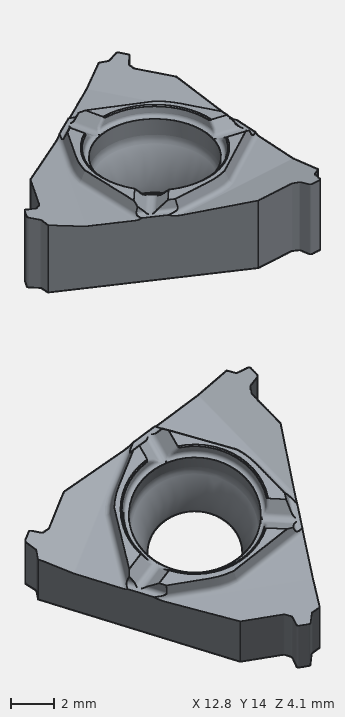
import cadquery as cq
import math

CORNERS = 3
CORNER_ANGLES = [corner * 360 / CORNERS for corner in range(CORNERS)]

side_distance = 4.77
tooth_tip = 6.9
nose_height = 6.02
shoulder_height = 6.1
shoulder_inner = -3.07
tooth_left_root = (-4.35, 6.26)
tooth_left_tip_x = -4.17
tooth_right_tip_x = -3.54
tooth_right_root = (-3.41, 6.29)
tooth_rounding = 0.11

overall_height = 4.1
floor_height = 3.51
ledge_height = 3.61

ramp_start = 4.27
ramp_angle = math.radians(10)
ramp_blend = 0.35

boss_radius = 3.73
boss_oblique_distance = 3.64
boss_oblique_normal = 121.5
boss_tangent_normal = 90
boss_draft = math.radians(25)
boss_foot_radius = 0.28

side_normal = 180
side_wall_distance = 4.25
side_wall_draft = math.radians(22)
side_wall_foot = 0.21

channel_angle = 166
channel_flat = 0.08
channel_flank = math.radians(38)
channel_foot = 0.34

hole_radius = 2.19
rim_radius = 3.4
rim_chamfer = 0.05
rim_draft = math.radians(15)
ledge_lip = 0.04
mouth_rounding = 0.17
ledge_fillet = 0.21
wall_radius = 3.06
seat_top_height = 2.67
seat_angle = math.radians(36)
seat_blend = 0.69

margin = 0.7
reach = 2 * tooth_tip
tolerance = 0.01


def turned(point, angle):
    """Turn a point about the Z axis by an angle in degrees."""
    turn = math.radians(angle)
    x, y = point
    return (x * math.cos(turn) - y * math.sin(turn), x * math.sin(turn) + y * math.cos(turn))


def facing(body, angle):
    """Turn a body built along +X to face a direction in degrees from +X."""
    return body.rotate((0, 0, 0), (0, 0, 1), angle)


def on_every_corner(body):
    """List of copies of a body, one for each corner."""
    return [facing(body, angle) for angle in CORNER_ANGLES]


def blend_edge(body, point, radius):
    """Round the edge whose middle lies nearest to a point."""
    return body.edges(cq.selectors.NearestToPointSelector(point)).fillet(radius)


def line_crossing(distance_a, angle_a, distance_b, angle_b):
    """Crossing of two lines given by their distance from the axis and facing direction."""
    a = math.radians(angle_a)
    b = math.radians(angle_b)
    spread = math.sin(b - a)
    x = (distance_a * math.sin(b) - distance_b * math.sin(a)) / spread
    y = (distance_b * math.cos(a) - distance_a * math.cos(b)) / spread
    return (x, y)


def make_prism():
    """Full outline with its three teeth, at the full height of the boss."""
    rounded = [
        tooth_left_root,
        (tooth_left_tip_x, tooth_tip),
        (tooth_right_tip_x, tooth_tip),
        tooth_right_root,
        (shoulder_inner, shoulder_height),
    ]
    shoulder_end = line_crossing(shoulder_height, 90, side_distance, 60)
    corner = [(-side_distance, nose_height)] + rounded + [shoulder_end]
    outline = [turned(point, -angle) for angle in CORNER_ANGLES for point in corner]
    prism = cq.Workplane("XY").polyline(outline).close().extrude(overall_height)
    for angle in CORNER_ANGLES:
        for point in rounded:
            middle = turned(point, angle) + (overall_height / 2,)
            prism = blend_edge(prism, middle, tooth_rounding)
    return prism


def make_ramp():
    """Slope up to the +Y tooth, blended into the floor."""
    ramp_end = tooth_tip + margin
    ramp_top = floor_height + (ramp_end - ramp_start) * math.tan(ramp_angle)
    ramp = (
        cq.Workplane("YZ", origin=(-reach / 2, 0, 0))
        .polyline([
            (ramp_start - margin, 0),
            (ramp_start - margin, floor_height),
            (ramp_start, floor_height),
            (ramp_end, ramp_top),
            (ramp_end, 0),
        ])
        .close()
        .extrude(reach)
    )
    return blend_edge(ramp, (0, ramp_start, floor_height), ramp_blend)


def wall_profile(distance, draft, foot_radius, base_height):
    """Section of the space beyond a leaning boss wall and above its rounded foot.

    Drawn in the XZ plane with the wall on the +X side, its distance taken at the top face.
    """
    lean = math.tan(draft)
    foot_x = distance + (overall_height - base_height) * lean
    setback = foot_radius * math.tan((math.pi / 2 - draft) / 2)
    tangent_on_wall = (foot_x - setback * math.sin(draft), base_height + setback * math.cos(draft))
    tangent_on_base = (foot_x + setback, base_height)
    cutter_top = overall_height + margin
    return (
        cq.Workplane("XZ")
        .moveTo(distance - margin * lean, cutter_top)
        .lineTo(*tangent_on_wall)
        .tangentArcPoint(tangent_on_base, relative=False)
        .lineTo(reach, base_height)
        .lineTo(reach, cutter_top)
        .close()
    )


def make_wall_cutters():
    """Cutters that leave one third of the boss outline standing."""
    boss_wall = (boss_draft, boss_foot_radius, floor_height)
    rounded_sweep = boss_oblique_normal - boss_tangent_normal
    rounded = wall_profile(boss_radius, *boss_wall).revolve(rounded_sweep, (0, 0), (0, 1))
    tangent = wall_profile(boss_radius, *boss_wall).extrude(reach)
    oblique = wall_profile(boss_oblique_distance, *boss_wall).extrude(reach, both=True)
    side_wall = (side_wall_draft, side_wall_foot, ledge_height)
    side = wall_profile(side_wall_distance, *side_wall).extrude(reach, both=True)
    return [
        facing(rounded, boss_tangent_normal),
        facing(tangent, boss_tangent_normal),
        facing(oblique, boss_oblique_normal),
        facing(side, side_normal),
    ]


def channel_half_width(height):
    """Half width between the flat flanks, extended to their corners with the bottom."""
    corner = channel_flat / 2 + channel_foot * math.tan(channel_flank / 2)
    return corner + (height - ledge_height) / math.tan(channel_flank)


def make_channel():
    """Cutter for the V channel from the hole to the -X side, with rounded flank feet."""
    half_flat = channel_half_width(ledge_height)
    cutter_height = overall_height + margin - ledge_height
    half_top = channel_half_width(ledge_height + cutter_height)
    length = side_distance + margin
    channel = (
        cq.Workplane("YZ")
        .polyline([
            (-half_flat, ledge_height),
            (half_flat, ledge_height),
            (half_top, ledge_height + cutter_height),
            (-half_top, ledge_height + cutter_height),
        ])
        .close()
        .extrude(length)
    )
    for edge_y in (-half_flat, half_flat):
        channel = blend_edge(channel, (length / 2, edge_y, ledge_height), channel_foot)
    return facing(channel, channel_angle)


def hole_rim_radius(height):
    """Radius of the leaning wall between the ledge and the rim."""
    return rim_radius - (overall_height - height) * math.tan(rim_draft)


def ring_edge(body, radius, height):
    """Full circle around the Z axis with a given radius and height."""
    def matches(edge):
        same_height = abs(edge.Center().z - height) < tolerance
        return same_height and abs(edge.radius() - radius) < tolerance

    return body.edges("%CIRCLE").filter(matches)


def make_hole():
    """Screw hole: chamfered rim, ledge, wall and a curved seat that narrows to the bore."""
    ledge_outer_radius = hole_rim_radius(ledge_height)

    def blend_point(lean):
        """Point of the concave blend where its surface leans by an angle from vertical."""
        return (
            wall_radius - seat_blend * (1 - math.cos(lean)),
            seat_top_height - seat_blend * math.sin(lean),
        )

    seat_start = blend_point(seat_angle)
    seat_radius = (seat_start[0] - hole_radius) / (1 - math.cos(seat_angle))
    seat_end_height = seat_start[1] - seat_radius * math.sin(seat_angle)

    def seat_point(lean):
        return (
            hole_radius + seat_radius * (1 - math.cos(lean)),
            seat_end_height + seat_radius * math.sin(lean),
        )

    hole = (
        cq.Workplane("XZ")
        .moveTo(0, -margin)
        .lineTo(hole_radius, -margin)
        .lineTo(hole_radius, seat_end_height)
        .threePointArc(seat_point(seat_angle / 2), seat_start)
        .threePointArc(blend_point(seat_angle / 2), (wall_radius, seat_top_height))
        .lineTo(wall_radius, ledge_height)
        .lineTo(ledge_outer_radius, ledge_height)
        .lineTo(hole_rim_radius(overall_height - rim_chamfer), overall_height - rim_chamfer)
        .lineTo(rim_radius + rim_chamfer, overall_height)
        .lineTo(rim_radius + rim_chamfer, overall_height + margin)
        .lineTo(0, overall_height + margin)
        .close()
        .revolve(360, (0, 0), (0, 1))
    )
    hole = ring_edge(hole, ledge_outer_radius, ledge_height).fillet(ledge_fillet)
    return ring_edge(hole, wall_radius, ledge_height).fillet(ledge_lip)


def round_channel_mouths(body):
    """Round the edges where the channel flanks run into the wall of the hole rim."""
    height = (ledge_height + overall_height) / 2
    across = channel_half_width(height)
    along = math.sqrt(hole_rim_radius(height) ** 2 - across ** 2)
    for angle in CORNER_ANGLES:
        for mouth in ((along, -across), (along, across)):
            middle = turned(mouth, channel_angle + angle) + (height,)
            body = blend_edge(body, middle, mouth_rounding)
    return body


prism = make_prism()

result = prism
for cutter in make_wall_cutters() + [make_channel()]:
    for copy in on_every_corner(cutter):
        result = result.cut(copy)
for ramp in on_every_corner(make_ramp().intersect(prism)):
    result = result.union(ramp)

result = round_channel_mouths(result.cut(make_hole()))